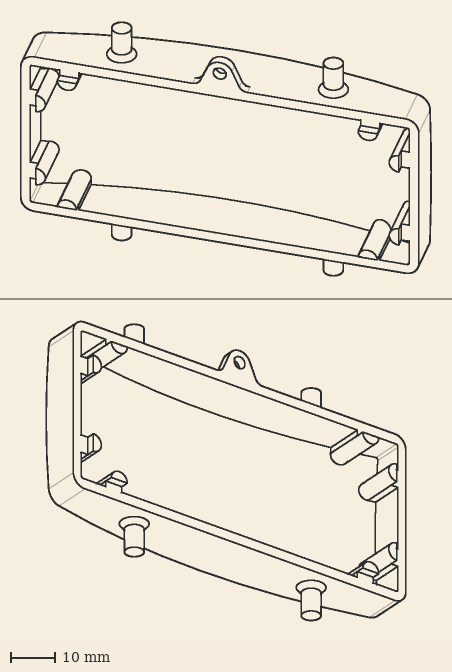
import cadquery as cq
import math

cover_length = 94.0
cover_width = 43.3
cavity_length = 89.5
cavity_width = 38.3
corner_radius = 3.2
cavity_corner_radius = 0.6
crown_depth = 16.45
end_depth = 10.4
crown_thickness = 2.3

mid_wall_x = (cover_length + cavity_length) / 4
mid_wall_z = (cover_width + cavity_width) / 4

crown_drop = crown_depth - end_depth
dome_radius = ((cover_length / 2) ** 2 + crown_drop ** 2) / (2 * crown_drop)
dome_center_y = crown_depth - dome_radius

trunnion_diameter = 4.5
trunnion_base_diameter = 6.8
trunnion_base_height = 1.4
trunnion_span = 58.0
trunnion_x = 25.0
trunnion_y = 6.5

tab_thickness = 2.3
tab_hole_diameter = 3.0
tab_hole_z = 25.7
tab_radius = 3.1
tab_flare_angle = math.radians(23.5)
tab_root_radius = 2.1

pin_diameter = 4.5
pin_protrusion = 2.1
long_side_pin_x = 35.5
long_side_pin_z = 17.7
short_side_pin_x = 42.9
short_side_pin_z = 10.2

pin_places = []
for side in (-1, 1):
    for end in (-1, 1):
        pin_places.append((end * long_side_pin_x, side * long_side_pin_z, 0 if side > 0 else 180))
        pin_places.append((end * short_side_pin_x, side * short_side_pin_z, 90 if end > 0 else -90))


def dome_ball(radius):
    return cq.Workplane("XY").sphere(radius).translate((0, dome_center_y, 0))


def rounded_block(length, width, radius):
    """Block from the rim to the crown depth with rounded corners along Y."""
    block = cq.Workplane("XY").box(length, crown_depth, width, centered=(True, False, True))
    return block.edges("|Y").fillet(radius)


def make_cavity():
    block = rounded_block(cavity_length, cavity_width, cavity_corner_radius)
    return block.intersect(dome_ball(dome_radius - crown_thickness))


def make_rib(x, z, turn):
    """Rib joining the flat side of a pin to the cover wall."""
    if turn in (0, 180):
        reach = mid_wall_z - long_side_pin_z
    else:
        reach = mid_wall_x - short_side_pin_x
    rib = cq.Workplane("XY").box(pin_diameter, crown_depth, reach, centered=(True, False, False))
    return rib.rotate((0, 0, 0), (0, 1, 0), turn).translate((x, 0, z))


def make_trunnion(x, side):
    """Round post with a conical base, standing on a long side."""
    post_radius = trunnion_diameter / 2
    base_radius = trunnion_base_diameter / 2
    height = (trunnion_span - cover_width) / 2
    root = mid_wall_z - cover_width / 2
    profile = (
        cq.Workplane("XZ")
        .moveTo(0, root)
        .lineTo(base_radius, root)
        .lineTo(base_radius, 0)
        .lineTo(post_radius, trunnion_base_height)
        .lineTo(post_radius, height)
        .lineTo(0, height)
        .close()
    )
    post = profile.revolve(360, (0, 0, 0), (0, 1, 0)).translate((x, trunnion_y, cover_width / 2))
    return post if side > 0 else post.mirror("XY")


def make_tab():
    """Flared tab with a rounded end, a hole and concave fillets at its root."""
    root_z = cover_width / 2
    tangent_x = tab_radius * math.cos(tab_flare_angle)
    tangent_z = tab_hole_z + tab_radius * math.sin(tab_flare_angle)
    corner_x = tangent_x + (tangent_z - root_z) * math.tan(tab_flare_angle)
    fillet_length = tab_root_radius * math.tan((math.pi / 2 - tab_flare_angle) / 2)
    fillet_x = corner_x - fillet_length * math.sin(tab_flare_angle)
    fillet_z = root_z + fillet_length * math.cos(tab_flare_angle)
    root_x = corner_x + fillet_length
    outline = (
        cq.Workplane("XZ")
        .moveTo(-root_x, mid_wall_z)
        .lineTo(-root_x, root_z)
        .radiusArc((-fillet_x, fillet_z), -tab_root_radius)
        .lineTo(-tangent_x, tangent_z)
        .threePointArc((0, tab_hole_z + tab_radius), (tangent_x, tangent_z))
        .lineTo(fillet_x, fillet_z)
        .radiusArc((root_x, root_z), -tab_root_radius)
        .lineTo(root_x, mid_wall_z)
        .close()
    )
    hole = cq.Workplane("XZ").center(0, tab_hole_z).circle(tab_hole_diameter / 2).extrude(-tab_thickness)
    return outline.extrude(-tab_thickness).cut(hole)


def make_cover():
    cavity = make_cavity()
    for place in pin_places:
        cavity = cavity.cut(make_rib(*place))
    cover = rounded_block(cover_length, cover_width, corner_radius).intersect(dome_ball(dome_radius))
    cover = cover.cut(cavity).union(make_tab())
    for x in (-trunnion_x, trunnion_x):
        for side in (-1, 1):
            cover = cover.union(make_trunnion(x, side))
    return cover


def make_pin(x, z, turn):
    """Half-round pin from the inside of the dome to beyond the rim."""
    radius = pin_diameter / 2
    pin = (
        cq.Workplane("XZ", origin=(0, -pin_protrusion, 0))
        .moveTo(-radius, 0)
        .threePointArc((0, -radius), (radius, 0))
        .close()
        .extrude(-(crown_depth + pin_protrusion))
        .rotate((0, 0, 0), (0, 1, 0), turn)
        .translate((x, 0, z))
    )
    return pin.intersect(dome_ball(dome_radius - crown_thickness))


cover = make_cover()
pins = [make_pin(*place) for place in pin_places]
result = cq.Compound.makeCompound([cover.val(), *[pin.val() for pin in pins]])